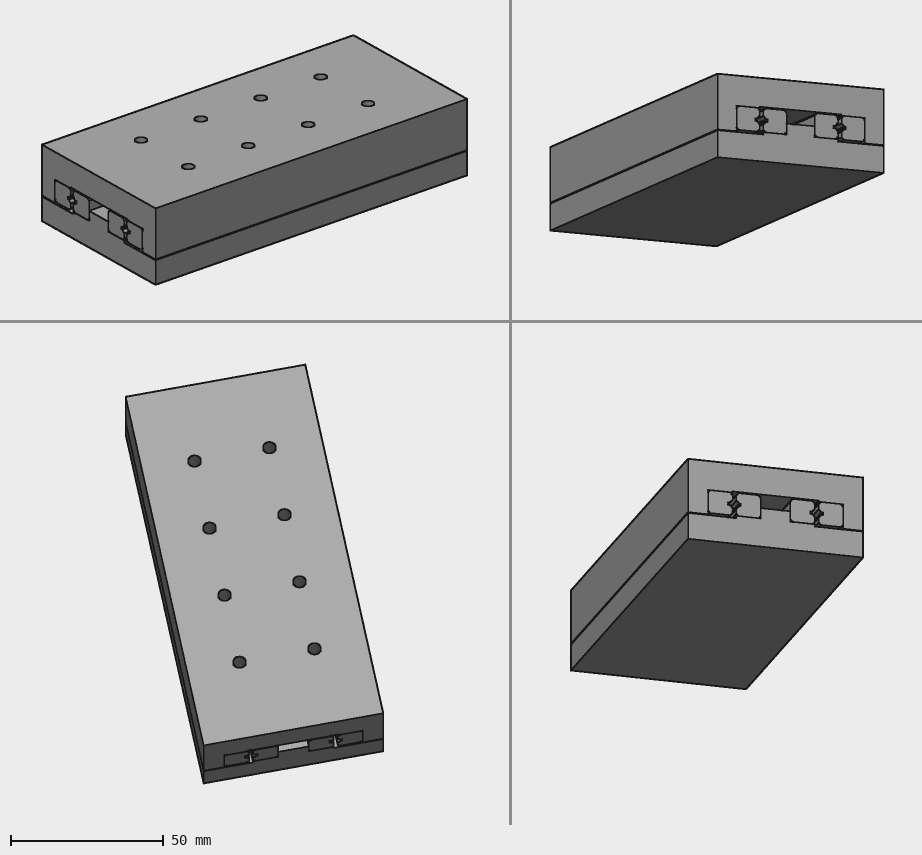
import cadquery as cq


width = 59.99
length = 130.05
height = 27.94

rail_height = 8.0
rail_width = 8.35
rail_pair_width = 18.0
rail_bottom = 9.8
rail_top = rail_bottom + rail_height
rail_mid = rail_bottom + rail_height / 2
inner_rail_x = 5.1
outer_rail_x = inner_rail_x + rail_pair_width
edge_chamfer = 0.75

groove_half_height = 1.4
relief_half_height = 0.4
groove_depth = groove_half_height - relief_half_height
relief_depth = 1.5

base_top = 9.0
seat_half_width = 13.5
rib_top = 13.4

table_bottom = 9.3
recess_top = 18.2
recess_half_width = 14.7

hole_diameter = 4.2
hole_pitch = 25.0
hole_columns = 2
hole_rows = 4


def mirrored_section(right_half):
    """Extrude a section given by its +X half, from the top centre to the bottom centre."""
    left_half = [(-x, z) for x, z in reversed(right_half)]
    return extrude_section(right_half + left_half)


def extrude_section(points):
    """Extrude a closed XZ outline over the full length, centred on Y = 0."""
    return cq.Workplane("XZ").polyline(points).close().extrude(length / 2, both=True)


def make_base():
    return mirrored_section([
        (inner_rail_x, rib_top),
        (inner_rail_x, rail_bottom),
        (seat_half_width, rail_bottom),
        (seat_half_width, base_top),
        (width / 2, base_top),
        (width / 2, 0),
    ])


def make_table():
    table = mirrored_section([
        (width / 2, height),
        (width / 2, table_bottom),
        (outer_rail_x, table_bottom),
        (outer_rail_x, rail_top),
        (recess_half_width, rail_top),
        (recess_half_width, recess_top),
    ])
    return (
        table.faces(">Z").workplane(origin=(0, 0, height))
        .rarray(hole_pitch, hole_pitch, hole_columns, hole_rows)
        .hole(hole_diameter)
    )


def make_rail(mount_x, direction):
    """Rail whose mounting face is at mount_x and whose grooved face looks along direction (+1 or -1)."""
    upper_half = [
        (0, rail_height / 2 - edge_chamfer),
        (edge_chamfer, rail_height / 2),
        (rail_width - edge_chamfer, rail_height / 2),
        (rail_width, rail_height / 2 - edge_chamfer),
        (rail_width, groove_half_height),
        (rail_width - groove_depth, relief_half_height),
        (rail_width - relief_depth, relief_half_height),
    ]
    lower_half = [(depth, -rise) for depth, rise in reversed(upper_half)]
    return extrude_section([
        (mount_x + direction * depth, rail_mid + rise)
        for depth, rise in upper_half + lower_half
    ])


base = make_base()
table = make_table()

rails = []
for side in (-1, 1):
    inner_rail = make_rail(side * inner_rail_x, side)
    outer_rail = make_rail(side * outer_rail_x, -side)
    rails += [inner_rail.val(), outer_rail.val()]

result = cq.Compound.makeCompound([base.val(), table.val(), *rails])